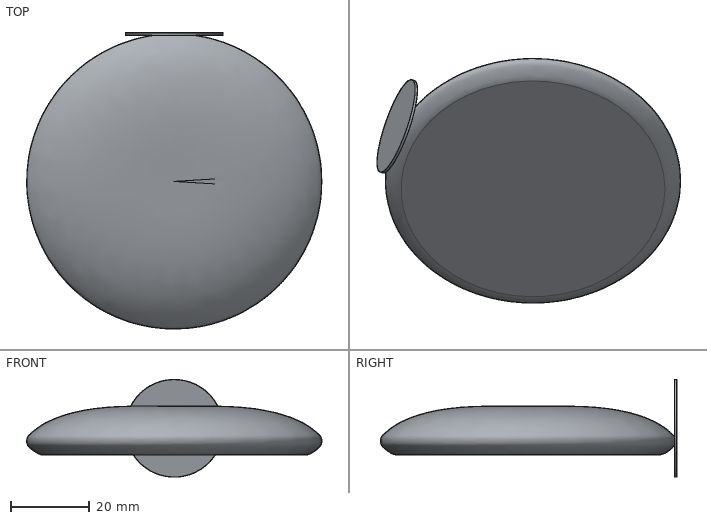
import cadquery as cq

disc_radius = 37.7
top_height = 5.6
bottom_height = -6.8
equator_height = -3.25
base_radius = 33.7
crown_radius = 15.15
crown_height = 5.5
dome_mid_radius = 27.8
dome_mid_height = 3.5
shoulder_radius = 35.0
shoulder_height = 0.1
rim_upper_radius = 36.7
rim_upper_height = -1.3
rim_lower_radius = 36.8
rim_lower_height = -5.1

plate_diameter = 25.0
plate_thickness = 0.7
total_depth = 75.8
plate_back = total_depth - disc_radius


def make_disc():
    """Revolve the half profile: one smooth curve over dome and rim, closed by a flat base."""
    curve_points = [
        (crown_radius, crown_height),
        (dome_mid_radius, dome_mid_height),
        (shoulder_radius, shoulder_height),
        (rim_upper_radius, rim_upper_height),
        (disc_radius, equator_height),
        (rim_lower_radius, rim_lower_height),
        (base_radius, bottom_height),
    ]
    tangents = [(1, 0), None, None, None, None, (0, -1), None, None]
    profile = (
        cq.Workplane("XZ")
        .moveTo(0, bottom_height)
        .lineTo(0, top_height)
        .spline(curve_points, tangents=tangents, includeCurrent=True)
        .close()
    )
    return profile.revolve(360, (0, 0, 0), (0, 1, 0))


def make_plate():
    """Extrude the plate forward from its back face so it overlaps the rim."""
    return (
        cq.Workplane("XZ", origin=(0, plate_back, 0))
        .circle(plate_diameter / 2)
        .extrude(plate_thickness)
    )


result = make_disc().union(make_plate())